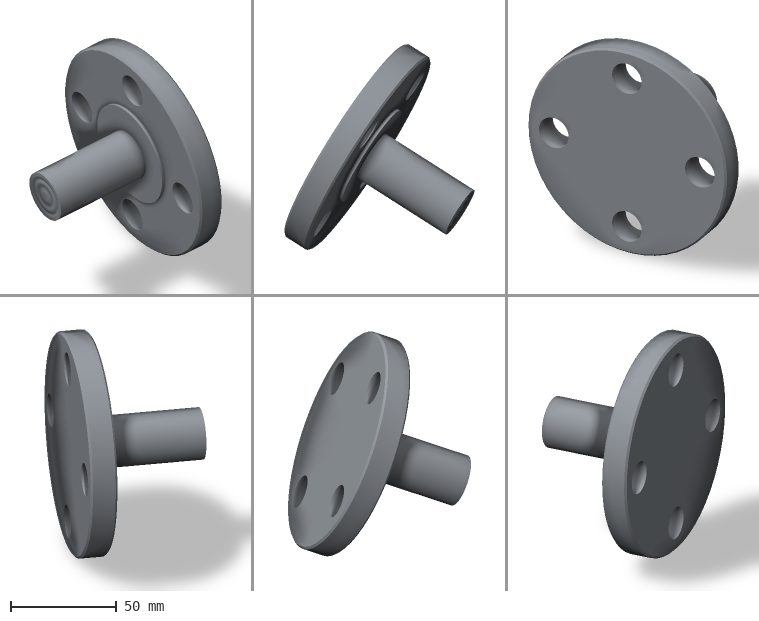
import cadquery as cq

flange_diameter = 108.0
flange_thickness = 13.0
edge_chamfer = 1.0

raised_face_diameter = 51.0
raised_face_height = 1.6
stem_diameter = 25.0
stem_length = 49.9

bolt_hole_diameter = 16.0
bolt_circle_diameter = 79.4
bolt_hole_count = 4

diaphragm_diameter = 21.8
inflection_diameters = [19.9, 16.5, 12.1, 7.6]
center_flat_diameter = 4.4
wave_height = 0.2
recess_clearance = 1.1

raised_face_station = flange_thickness + raised_face_height
stem_end_station = raised_face_station + stem_length


def make_flange():
    disc = cq.Workplane("XZ").circle(flange_diameter / 2).extrude(flange_thickness)
    disc = disc.faces("|Y").edges().chamfer(edge_chamfer)
    raised_face = cq.Workplane("XZ").circle(raised_face_diameter / 2).extrude(raised_face_station)
    stem = cq.Workplane("XZ").circle(stem_diameter / 2).extrude(stem_end_station)
    return disc.union(raised_face).union(stem)


def make_bolt_holes():
    return (
        cq.Workplane("XZ")
        .polarArray(bolt_circle_diameter / 2, 0, 360, bolt_hole_count)
        .circle(bolt_hole_diameter / 2)
        .extrude(flange_thickness)
    )


def level_arc_radius(width):
    """Radius of an arc that starts level and falls by the wave height over the given width."""
    return (width**2 + wave_height**2) / (2 * wave_height)


def make_diaphragm_recess():
    """Revolved recess whose floor is a chain of shallow arcs ending in a flat center."""
    end_y = -stem_end_station
    inflection_y = end_y + wave_height
    trough_y = inflection_y + wave_height
    rim_radius = diaphragm_diameter / 2
    wave_radii = [diameter / 2 for diameter in inflection_diameters]
    flat_radius = center_flat_diameter / 2

    front_y = end_y - recess_clearance
    section = (
        cq.Workplane("XY")
        .moveTo(0, front_y)
        .lineTo(rim_radius, front_y)
        .lineTo(rim_radius, end_y)
    )

    rim_width = rim_radius - wave_radii[0]
    section = section.radiusArc((wave_radii[0], inflection_y), level_arc_radius(rim_width))

    extreme_levels = [trough_y, end_y, trough_y]
    for outer, inner, extreme_y in zip(wave_radii, wave_radii[1:], extreme_levels):
        middle = ((outer + inner) / 2, extreme_y)
        section = section.threePointArc(middle, (inner, inflection_y))

    center_width = wave_radii[-1] - flat_radius
    section = section.radiusArc((flat_radius, end_y), level_arc_radius(center_width))
    section = section.lineTo(0, end_y).close()
    return section.revolve(360, (0, 0, 0), (0, 1, 0))


result = make_flange().cut(make_bolt_holes()).cut(make_diaphragm_recess())